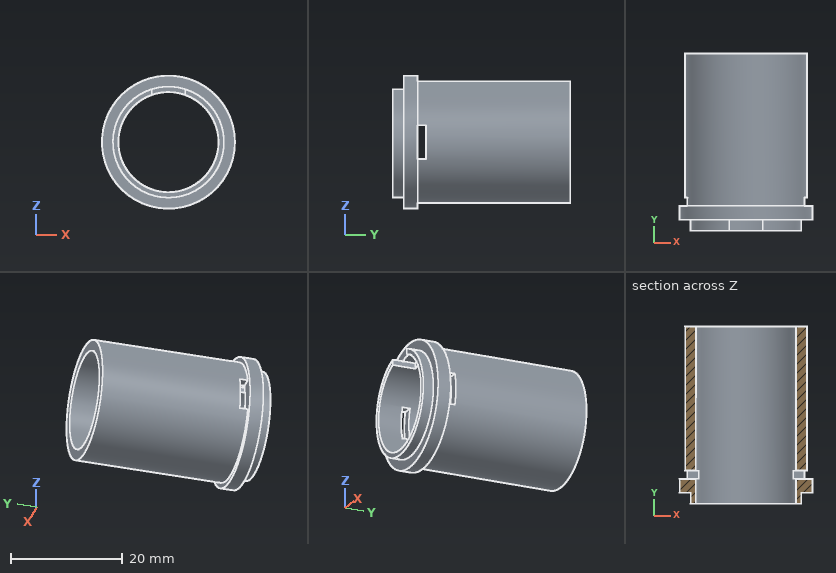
import cadquery as cq

total_length = 32.0
bore_diameter = 18.0
body_diameter = 22.0
flange_diameter = 24.0
spigot_diameter = 20.0

spigot_length = 2.0
flange_thickness = 2.5

window_length = 1.5
window_height = 6.0

notch_width = 6.0

flange_front = spigot_length
flange_back = flange_front + flange_thickness
body_length = total_length - flange_back
notch_depth = flange_back


def cylinder(diameter, start, length):
    """Solid cylinder on the Y axis, from start towards +Y."""
    plane = cq.Plane(origin=(0, start, 0), xDir=(1, 0, 0), normal=(0, 1, 0))
    return cq.Workplane(plane).circle(diameter / 2).extrude(length)


def make_sleeve():
    """Spigot, flange and body, bored through."""
    spigot = cylinder(spigot_diameter, 0, spigot_length)
    flange = cylinder(flange_diameter, flange_front, flange_thickness)
    body = cylinder(body_diameter, flange_back, body_length)
    bore = cylinder(bore_diameter, 0, total_length)
    return spigot.union(flange).union(body).cut(bore)


def make_windows():
    """One bar along X that opens both side windows."""
    return (
        cq.Workplane("XY")
        .box(flange_diameter, window_length, window_height)
        .translate((0, flange_back + window_length / 2, 0))
    )


def make_notch():
    """Key notch: a straight-sided slot rounded to the spigot outside diameter."""
    slot = cq.Workplane("XY").box(
        notch_width, notch_depth, spigot_diameter / 2, centered=(True, False, False)
    )
    return slot.intersect(cylinder(spigot_diameter, 0, notch_depth))


result = make_sleeve().cut(make_windows()).cut(make_notch())